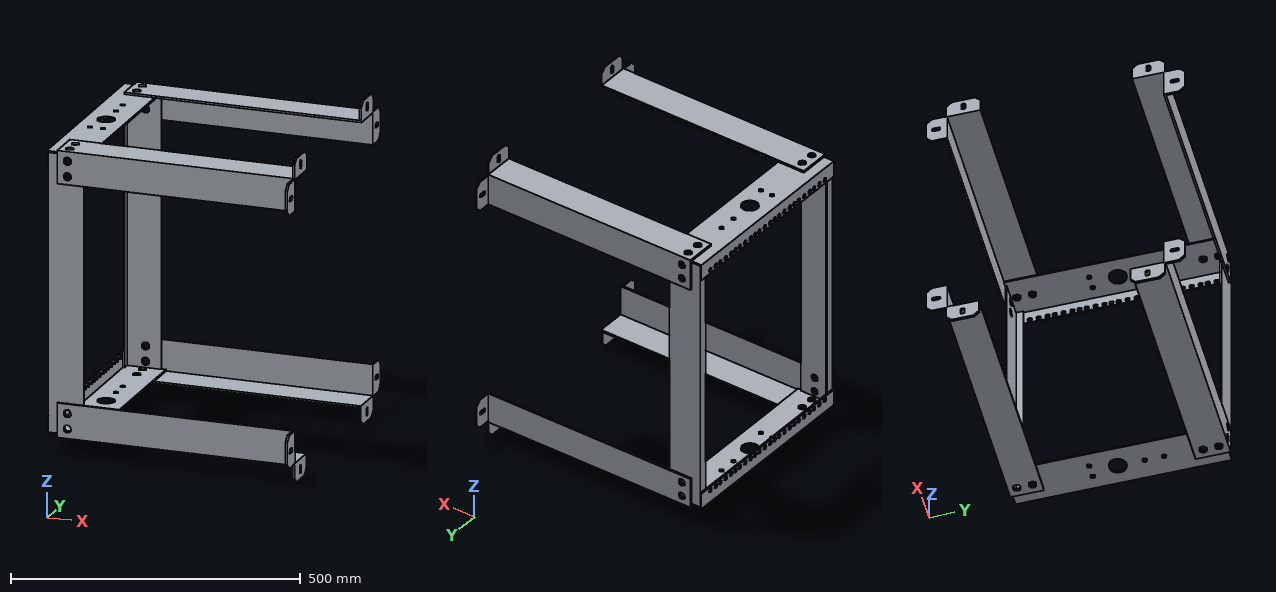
import cadquery as cq


overall_depth = 457.0
overall_width = 460.89
overall_height = 589.89

sheet = 3.0
frame_width = 386.3
frame_height = frame_width + overall_height - overall_width
rail_depth = 76.5
rail_flange = 32.5
side_depth = 65.5
side_flange = 16.0

arm_sheet = 3.7
arm_start = 21.0
arm_wide_leg = 63.0
arm_narrow_leg = 60.5

tab_height = (overall_width - frame_width) / 2 - arm_sheet
tab_relief = 2.0
tab_corner = 9.5
slot_length = 15.0
slot_width = 7.5
slot_centre = 16.0

bolt_diameter = 13.5
rail_bolt_x = 38.0
rail_bolt_offsets = (13.0, 41.0)
side_bolt_x = 39.5
side_bolt_offsets = (14.0, 42.0)

cable_hole_diameter = 31.0
small_hole_diameter = 8.0
small_hole_ys = (82.5, 48.0)
small_pair_y = -48.0
small_pair_spacing = 24.0

row_hole_diameter = 8.0
row_offset = 25.0
row_long_gap = 15.875
row_short_gap = 12.7
row_repeats = 4


def box(x_range, y_range, z_range):
    """Axis-aligned block between the given limits."""
    sizes = [high - low for low, high in (x_range, y_range, z_range)]
    corner = (x_range[0], y_range[0], z_range[0])
    return cq.Workplane("XY").box(*sizes, centered=False).translate(corner)


def drill_z(points, diameter, z_range):
    """Vertical drill cutters at (x, y) points."""
    depth = z_range[1] - z_range[0]
    plane = cq.Workplane("XY", origin=(0, 0, z_range[0]))
    return plane.pushPoints(points).circle(diameter / 2).extrude(depth)


def row_positions():
    """Y of the holes in a rail flange, from +Y to -Y: long and short gaps, the row centred on Y = 0."""
    long_pair = [row_long_gap] * 2
    short_pair = [row_short_gap] * 2
    gaps = [row_long_gap, row_short_gap]
    gaps += (long_pair + short_pair) * row_repeats
    gaps += long_pair + [row_short_gap] + long_pair
    positions = [sum(gaps) / 2]
    for gap in gaps:
        positions.append(positions[-1] - gap)
    return positions


def top_rail():
    """Angle across the top of the frame, its front flange hanging down and drilled with a row of holes."""
    half_width = frame_width / 2
    top = frame_height / 2
    across = (-half_width, half_width)
    plate_z = (top - sheet, top)
    plate = box((0, rail_depth), across, plate_z)
    flange = box((0, sheet), across, (top - rail_flange, top))
    rail = plate.union(flange)

    bolt_ys = [half_width - offset for offset in rail_bolt_offsets]
    bolts = [(rail_bolt_x, sign * y) for y in bolt_ys for sign in (-1, 1)]
    small_holes = [(rail_bolt_x, y) for y in small_hole_ys]
    small_holes += [(rail_bolt_x + sign * small_pair_spacing / 2, small_pair_y) for sign in (-1, 1)]
    rail = rail.cut(drill_z(bolts, bolt_diameter, plate_z))
    rail = rail.cut(drill_z([(rail_bolt_x, 0)], cable_hole_diameter, plate_z))
    rail = rail.cut(drill_z(small_holes, small_hole_diameter, plate_z))

    row = (
        cq.Workplane("YZ", origin=(0, 0, top - row_offset))
        .pushPoints([(y, 0) for y in row_positions()])
        .circle(row_hole_diameter / 2)
        .extrude(sheet)
    )
    return rail.cut(row)


def left_side():
    """Upright angle on the -Y side, standing between the rails with its flange behind theirs."""
    outer = -frame_width / 2
    half_height = frame_height / 2 - sheet
    upright = (-half_height, half_height)
    web = box((sheet, sheet + side_depth), (outer, outer + sheet), upright)
    flange = box((sheet, 2 * sheet), (outer, outer + side_flange), upright)
    bolt_zs = [frame_height / 2 - offset for offset in side_bolt_offsets]
    bolts = (
        cq.Workplane("XZ", origin=(0, outer + sheet, 0))
        .pushPoints([(side_bolt_x, sign * z) for z in bolt_zs for sign in (-1, 1)])
        .circle(bolt_diameter / 2)
        .extrude(sheet)
    )
    return web.union(flange).cut(bolts)


def wall_tab(leg):
    """Slotted tab with two cut corners, standing on Z = 0 at the rear end of a leg that is `leg` wide."""
    width = leg - tab_relief
    middle = tab_relief + width / 2
    front = overall_depth - arm_sheet
    tab = (
        cq.Workplane("YZ", origin=(front, middle, tab_height / 2))
        .rect(width, tab_height)
        .extrude(arm_sheet)
        .edges("|X and >Z")
        .chamfer(tab_corner)
    )
    slot = (
        cq.Workplane("YZ", origin=(front, middle, slot_centre))
        .slot2D(slot_length, slot_width, 90)
        .extrude(arm_sheet)
    )
    return tab.cut(slot)


def arm_leg(leg, bolt_x, bolt_offsets):
    """One drilled leg of an arm with its tab: outer face on Z = 0, outer corner on Y = 0."""
    thickness = (-arm_sheet, 0)
    plate = box((arm_start, overall_depth), (0, leg), thickness)
    bolts = [(bolt_x, arm_sheet + offset) for offset in bolt_offsets]
    return plate.cut(drill_z(bolts, bolt_diameter, thickness)).union(wall_tab(leg))


def upper_arm(top_width, side_width):
    """Angle arm on the upper corner at -Y, one leg on the rail and the other on the side."""
    top_leg = arm_leg(top_width, rail_bolt_x, rail_bolt_offsets)
    side_leg = arm_leg(side_width, side_bolt_x, side_bolt_offsets)
    side_leg = side_leg.mirror("XZ").rotate((0, 0, 0), (1, 0, 0), 90)
    corner = (0, -frame_width / 2 - arm_sheet, frame_height / 2 + arm_sheet)
    return top_leg.union(side_leg).translate(corner)


upper_rail = top_rail()
lower_rail = upper_rail.mirror("XY")
near_side = left_side()
far_side = near_side.mirror("XZ")

arms = []
for upper in (
    upper_arm(arm_wide_leg, arm_narrow_leg),
    upper_arm(arm_narrow_leg, arm_wide_leg).mirror("XZ"),
):
    arms.append(upper)
    arms.append(upper.rotate((0, 0, 0), (1, 0, 0), 180))

bodies = [upper_rail, lower_rail, near_side, far_side, *arms]
result = cq.Compound.makeCompound([body.val() for body in bodies])